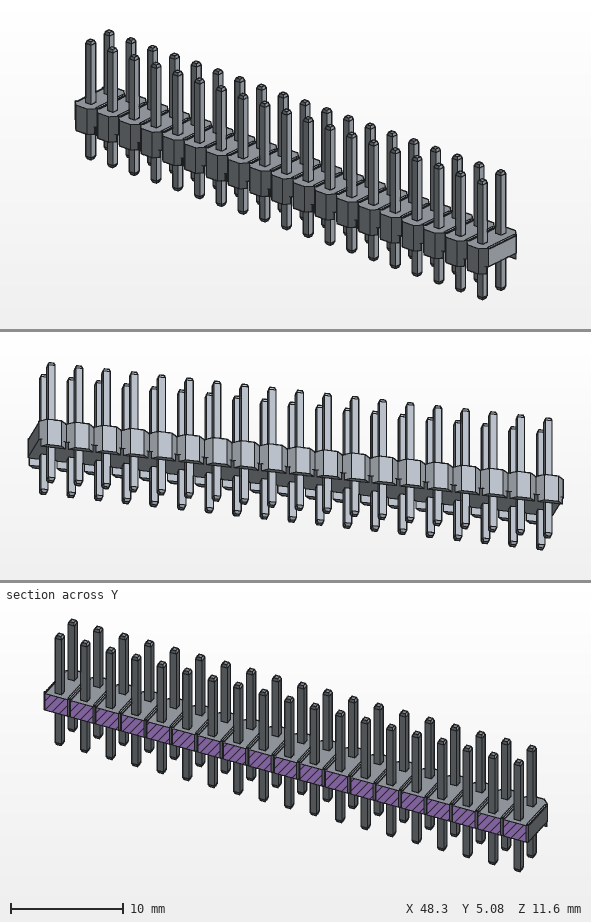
import cadquery as cq

PITCH = 2.54
POSITIONS = 19
ROWS = 2

PIN_WIDTH = 0.64
PIN_LENGTH = 11.6
PIN_TIP_INSET = 0.1
PIN_TIP_HEIGHT = 0.27
PIN_BELOW_BODY = 3.0

BODY_HEIGHT = 2.5
CHANNEL_DEPTH = 0.7
FOOT_WIDTH = 0.49

GROOVE_HALF_WIDTH = 0.2
GROOVE_DEPTH = 0.1
GROOVE_WALL_ANGLE = 45
GROOVE_END_MARGIN = 0.08

CELL_CHAMFER = PITCH / 4
BODY_LENGTH = POSITIONS * PITCH
BODY_WIDTH = ROWS * PITCH
BODY_TOP = BODY_HEIGHT / 2
BODY_BOTTOM = -BODY_HEIGHT / 2
CHANNEL_WIDTH = BODY_WIDTH - 2 * FOOT_WIDTH
GROOVE_LENGTH = BODY_WIDTH - 2 * (CELL_CHAMFER + GROOVE_END_MARGIN)
PIN_BOTTOM = BODY_BOTTOM - PIN_BELOW_BODY


def centred_positions(count):
    """Coordinates of count items at the pin pitch, centred on zero."""
    return [(i - (count - 1) / 2) * PITCH for i in range(count)]


def make_cell(x):
    """One eight-sided body cell holding a pair of pins."""
    return (
        cq.Workplane("XY")
        .box(PITCH, BODY_WIDTH, BODY_HEIGHT)
        .edges("|Z")
        .chamfer(CELL_CHAMFER)
        .translate((x, 0, 0))
    )


def make_channel():
    """Cutter for the clearance channel that runs the whole length of the underside."""
    return (
        cq.Workplane("XY", origin=(0, 0, BODY_BOTTOM))
        .rect(BODY_LENGTH, CHANNEL_WIDTH)
        .extrude(CHANNEL_DEPTH)
    )


def make_groove(x):
    """Tapered cutter for the shallow top groove at a cell boundary or body end."""
    return (
        cq.Workplane("XY", origin=(x, 0, BODY_TOP))
        .rect(2 * GROOVE_HALF_WIDTH, GROOVE_LENGTH)
        .extrude(-GROOVE_DEPTH, taper=GROOVE_WALL_ANGLE)
    )


def make_body():
    """Row of cells with the underside channel and the top grooves cut away."""
    first_cell, *other_cells = [make_cell(x).val() for x in centred_positions(POSITIONS)]
    grooves = [make_groove(x).val() for x in centred_positions(POSITIONS + 1)]
    return first_cell.fuse(*other_cells).cut(make_channel().val(), *grooves)


def make_pin(x, y):
    """Square pin with a tapered tip at each end."""
    return (
        cq.Workplane("XY", origin=(x, y, PIN_BOTTOM))
        .rect(PIN_WIDTH, PIN_WIDTH)
        .extrude(PIN_LENGTH)
        .faces("<Z or >Z")
        .chamfer(PIN_TIP_HEIGHT, PIN_TIP_INSET)
    )


pins = [make_pin(x, y).val() for x in centred_positions(POSITIONS) for y in centred_positions(ROWS)]
result = cq.Workplane(make_body().fuse(*pins)).solids()